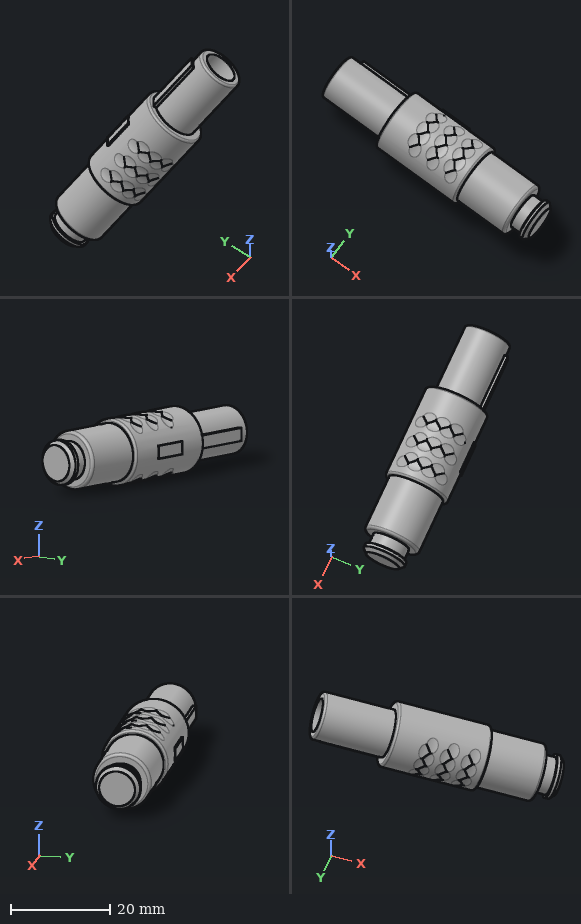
import cadquery as cq
import math

plug_end = 15.05
sleeve_end = 35.0
rear_end = 47.0
flange_start = 49.6
total_length = 51.3

plug_radius = 5.0
sleeve_radius = 6.85
rear_radius = 6.0
neck_radius = 3.95
flange_radius = 4.55
small_edge_round = 0.45
rear_edge_round = 0.6
flange_chamfer = 0.85

bore_radius = 3.5
bore_depth = plug_end
pin_radius = 0.35
pin_length = 8.0
pin_circle_radius = 1.85
outer_pin_count = 6

key_start = 2.5
key_top = 5.55
key_width = 2.65
pad_start = 21.5
pad_end = 28.35
pad_top = 7.0
pad_width = 2.65

first_dimple_x = 21.9
dimple_column_pitch = 4.5
dimple_columns = 3
dimple_row_shift = 1.15
dimple_angle_pitch = 26.0
dimple_depth = 0.185
dimple_cutter_radius = 4.0
dimple_cutter_length = 6.15
left_row_steps = (-1, 0, 1)
right_row_steps = (-1.5, -0.5, 0.5, 1.5)


def cylinder(start, end, radius):
    """Solid cylinder on the X axis between two stations."""
    return cq.Workplane("YZ", origin=(start, 0, 0)).circle(radius).extrude(end - start)


def make_body():
    """Stepped round body with softened edges and a chamfered end flange."""
    plug = cylinder(0, plug_end, plug_radius).faces("<X").edges().fillet(small_edge_round)
    sleeve = cylinder(plug_end, sleeve_end, sleeve_radius).edges("%CIRCLE").fillet(small_edge_round)
    rear = cylinder(sleeve_end, rear_end, rear_radius).faces(">X").edges().fillet(rear_edge_round)
    neck = cylinder(rear_end, flange_start, neck_radius)
    flange = cylinder(flange_start, total_length, flange_radius)
    flange = flange.faces(">X").edges().chamfer(flange_chamfer)
    return plug.union(sleeve).union(rear).union(neck).union(flange)


def make_side_block(start, end, top, width):
    """Block running from the axis out to a flat top on the +Y side."""
    block = cq.Workplane("XY").box(end - start, top, width, centered=(False, False, True))
    return block.translate((start, 0, 0))


def make_pin(y, z):
    """Round contact pin with a domed tip, standing on the socket floor."""
    dome_center = bore_depth - pin_length + pin_radius
    shank = cylinder(dome_center, bore_depth, pin_radius)
    dome = cq.Workplane("XY").sphere(pin_radius).translate((dome_center, 0, 0))
    return shank.union(dome).translate((0, y, z))


def make_dimple_cutter(x, angle):
    """Tangential cylinder that scoops the sleeve at an angle about X, measured from +Z."""
    axis_height = sleeve_radius - dimple_depth + dimple_cutter_radius
    cutter = (
        cq.Workplane("XZ", origin=(x, dimple_cutter_length / 2, axis_height))
        .circle(dimple_cutter_radius)
        .extrude(dimple_cutter_length)
    )
    return cutter.rotate((0, 0, 0), (1, 0, 0), angle)


def cut_dimples(body):
    """Staggered double rows of dimples on the top and bottom of the sleeve."""
    for side_angle in (0, 180):
        for column in range(dimple_columns):
            left_x = first_dimple_x + column * dimple_column_pitch
            rows = ((left_x, left_row_steps), (left_x + dimple_row_shift, right_row_steps))
            for x, steps in rows:
                for step in steps:
                    body = body.cut(make_dimple_cutter(x, side_angle + step * dimple_angle_pitch))
    return body


result = make_body()
result = result.union(make_side_block(key_start, plug_end, key_top, key_width))
result = result.union(make_side_block(pad_start, pad_end, pad_top, pad_width))
result = cut_dimples(result)

result = result.cut(cylinder(0, bore_depth, bore_radius))
result = result.union(make_pin(0, 0))
for index in range(outer_pin_count):
    pin_angle = index * 2 * math.pi / outer_pin_count
    pin_y = pin_circle_radius * math.cos(pin_angle)
    pin_z = pin_circle_radius * math.sin(pin_angle)
    result = result.union(make_pin(pin_y, pin_z))